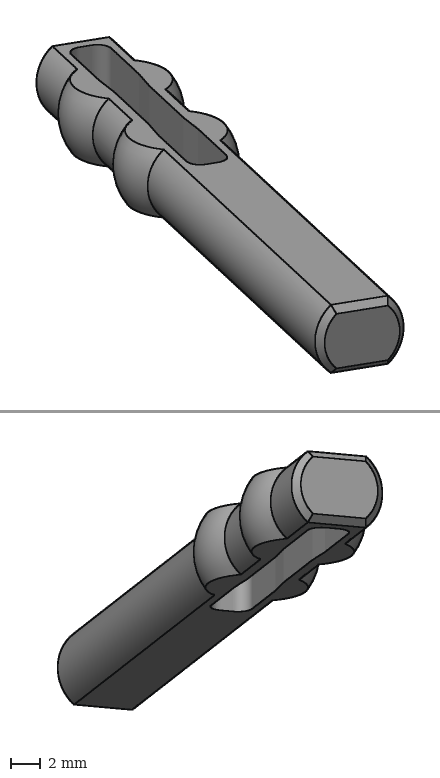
import cadquery as cq

rod_length = 50.0
rod_diameter = 6.5
thickness = 5.0
end_chamfer = 0.5

ball_diameter = 8.55
first_ball_x = 7.65
ball_spacing = 9.65
ball_centres = [first_ball_x, first_ball_x + ball_spacing]

slot_centre = first_ball_x + ball_spacing / 2
slot_length = 22.2
slot_width = 2.9
slot_corner_radius = 1.0
waist_width = 2.6
waist_length = 6.0
taper_end_distance = 5.2


def make_rod():
    """Flat-sided round bar with all edges of both ends chamfered."""
    bar = cq.Workplane("YZ").circle(rod_diameter / 2).extrude(rod_length)
    flats = cq.Workplane("XY").box(rod_length, rod_diameter, thickness, centered=(False, True, True))
    return bar.intersect(flats).faces("<X or >X").edges().chamfer(end_chamfer)


def make_ball(x):
    """Sphere on the rod axis, cut flush with the rod's flats."""
    ball = cq.Workplane("XY").sphere(ball_diameter / 2)
    flats = cq.Workplane("XY").box(ball_diameter, ball_diameter, thickness)
    return ball.intersect(flats).translate((x, 0, 0))


def make_slot():
    """Through slot with rounded corners whose side walls taper in to a narrower waist."""
    half_length = slot_length / 2
    half_waist = waist_length / 2
    one_side = [
        (-half_length, slot_width / 2),
        (-taper_end_distance, slot_width / 2),
        (-half_waist, waist_width / 2),
        (half_waist, waist_width / 2),
        (taper_end_distance, slot_width / 2),
        (half_length, slot_width / 2),
    ]
    other_side = [(x, -y) for x, y in reversed(one_side)]
    slot = cq.Workplane("XY").polyline(one_side + other_side).close().extrude(thickness / 2, both=True)
    end_corners = slot.faces("<X or >X").edges("|Z")
    return end_corners.fillet(slot_corner_radius).translate((slot_centre, 0, 0))


result = make_rod()
for ball_x in ball_centres:
    result = result.union(make_ball(ball_x))
result = result.cut(make_slot())